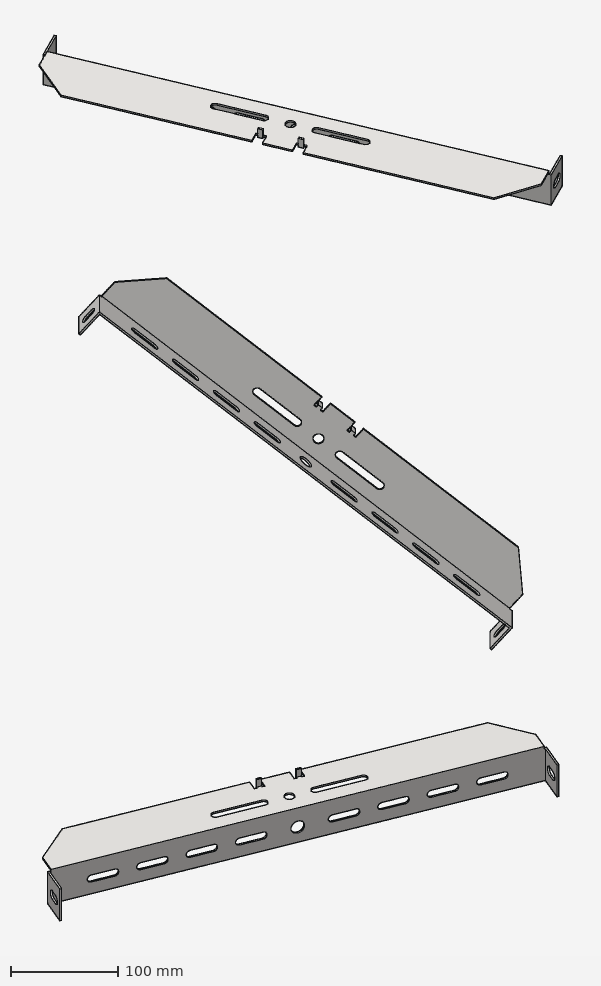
import cadquery as cq

sheet = 2.0
length = 506.0
overall_depth = 83.0
overall_height = 48.5

web_height = 37.0
flange_depth = 30.0
web_hole_diameter = 13.5
web_hole_z = 17.5
web_slot_length = 32.0
web_slot_width = 8.0
web_slot_first_x = 47.0
web_slot_pitch = 50.0
web_slots_per_side = 4
flange_slot_length = 17.0
flange_slot_width = 9.5
flange_slot_y = 15.5
flange_slot_z = 17.5

shelf_inset = 3.0
shelf_length = length - 2 * shelf_inset
shelf_top = 40.0
shelf_back = sheet
shelf_front = flange_depth - overall_depth
shelf_corner_cut = 34.5
shelf_hole_diameter = 10.0
shelf_hole_y = shelf_back - 20.0
shelf_slot_length = 57.0
shelf_slot_width = 8.0
shelf_slot_x = 50.5

tab_x = 20.0
tab_width = 5.0
tab_front = shelf_front + 8.0
notch_width = 10.5
notch_depth = 11.0


def block(x_range, y_range, z_range):
    """Axis-aligned box between pairs of limits."""
    ranges = (x_range, y_range, z_range)
    size = [high - low for low, high in ranges]
    return cq.Workplane("XY").box(*size, centered=False).translate([low for low, high in ranges])


def make_web():
    slot_xs = [web_slot_first_x + i * web_slot_pitch for i in range(web_slots_per_side)]
    slot_points = [(side * x, web_hole_z) for side in (-1, 1) for x in slot_xs]
    web = block((-length / 2, length / 2), (0, sheet), (0, web_height))
    neck = block((-shelf_length / 2, shelf_length / 2), (0, sheet), (0, shelf_top))
    cutters = (
        cq.Workplane("XZ")
        .pushPoints(slot_points)
        .slot2D(web_slot_length, web_slot_width)
        .extrude(sheet, both=True)
    )
    hole = (
        cq.Workplane("XZ")
        .center(0, web_hole_z)
        .circle(web_hole_diameter / 2)
        .extrude(sheet, both=True)
    )
    return web.union(neck).cut(cutters).cut(hole)


def make_end_flanges():
    outer = length / 2
    left = block((-outer, sheet - outer), (0, flange_depth), (0, web_height))
    right = block((outer - sheet, outer), (0, flange_depth), (0, web_height))
    slots = (
        cq.Workplane("YZ")
        .center(flange_slot_y, flange_slot_z)
        .slot2D(flange_slot_length, flange_slot_width)
        .extrude(outer, both=True)
    )
    return left.union(right).cut(slots)


def make_shelf():
    shelf = block(
        (-shelf_length / 2, shelf_length / 2),
        (shelf_front, shelf_back),
        (shelf_top - sheet, shelf_top),
    )
    shelf = shelf.edges("|Z and <Y").chamfer(shelf_corner_cut)
    openings = (
        cq.Workplane("XY")
        .workplane(offset=shelf_top)
        .center(0, shelf_hole_y)
        .circle(shelf_hole_diameter / 2)
        .pushPoints([(-shelf_slot_x, 0), (shelf_slot_x, 0)])
        .slot2D(shelf_slot_length, shelf_slot_width)
        .extrude(-sheet)
    )
    return shelf.cut(openings)


def add_tab(shelf, x):
    """Cut a notch centred at x and leave a folded tab standing in it."""
    notch_back = shelf_front + notch_depth
    notch_sides = (x - notch_width / 2, x + notch_width / 2)
    tab_sides = (x - tab_width / 2, x + tab_width / 2)
    shelf_levels = (shelf_top - sheet, shelf_top)
    notch = block(notch_sides, (shelf_front, notch_back), shelf_levels)
    root = block(tab_sides, (tab_front, notch_back), shelf_levels)
    tab = block(tab_sides, (tab_front, tab_front + sheet), (shelf_top - sheet, overall_height))
    return shelf.cut(notch).union(root).union(tab)


shelf = make_shelf()
for side in (-1, 1):
    shelf = add_tab(shelf, side * tab_x)

result = make_web().union(make_end_flanges()).union(shelf)